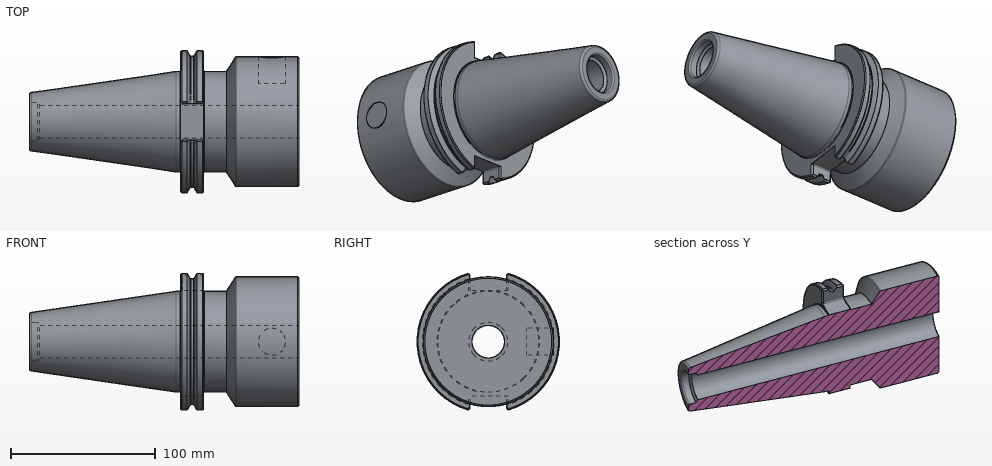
import cadquery as cq
import math

TOTAL_LENGTH = 186.6
GAUGE_X = 101.5
FLANGE_FRONT_X = 104.7
FLANGE_WIDTH = 15.9
FLANGE_BACK_X = FLANGE_FRONT_X + FLANGE_WIDTH
SHOULDER_START_X = 136.2
SHOULDER_END_X = 142.7

GAUGE_RADIUS = 34.9
TAPER_RATIO = 7 / 24
SMALL_END_RADIUS = GAUGE_RADIUS - GAUGE_X * TAPER_RATIO / 2
FLANGE_RADIUS = 49.3
NECK_RADIUS = GAUGE_RADIUS
HEAD_RADIUS = 45.0

SMALL_END_FILLET = 1.7
FLANGE_CHAMFER = 0.7
FLANGE_ROOT_FILLET = 0.5
HEAD_CHAMFER = 1.1
SHOULDER_FILLET = 0.7

GROOVE_X = 112.5
GROOVE_FLOOR_RADIUS = 45.3
GROOVE_FLOOR_WIDTH = 2.5
GROOVE_HALF_ANGLE = 30.0
GROOVE_FLOOR_FILLET = 0.5

SLOT_HALF_WIDTH = 12.7
TOP_SLOT_FLOOR = 35.3
BOTTOM_SLOT_FLOOR = 37.7
SLOT_CHAMFER = 1.1
SLOT_CORNER_FILLET = 0.7
CUT_CLEARANCE = 1.9

BORE_RADIUS = 11.2
MOUTH_RADIUS = 13.5
MOUTH_DEPTH = 5.8
MOUTH_CONE_LENGTH = 1.3
MOUTH_FILLET = 1.1

SCREW_RADIUS = 9.3
SCREW_X = 167.8
SCREW_LENGTH = 2 * SCREW_RADIUS


def turned_blank():
    """Taper, flange, neck and head as one solid of revolution, with its end and shoulder edges rounded."""
    profile = (
        cq.Workplane("XZ")
        .moveTo(0, 0)
        .lineTo(0, SMALL_END_RADIUS)
        .lineTo(GAUGE_X, GAUGE_RADIUS)
        .lineTo(FLANGE_FRONT_X - FLANGE_ROOT_FILLET, GAUGE_RADIUS)
        .radiusArc((FLANGE_FRONT_X, GAUGE_RADIUS + FLANGE_ROOT_FILLET), -FLANGE_ROOT_FILLET)
        .lineTo(FLANGE_FRONT_X, FLANGE_RADIUS - FLANGE_CHAMFER)
        .lineTo(FLANGE_FRONT_X + FLANGE_CHAMFER, FLANGE_RADIUS)
        .lineTo(FLANGE_BACK_X - FLANGE_CHAMFER, FLANGE_RADIUS)
        .lineTo(FLANGE_BACK_X, FLANGE_RADIUS - FLANGE_CHAMFER)
        .lineTo(FLANGE_BACK_X, NECK_RADIUS + FLANGE_ROOT_FILLET)
        .radiusArc((FLANGE_BACK_X + FLANGE_ROOT_FILLET, NECK_RADIUS), -FLANGE_ROOT_FILLET)
        .lineTo(SHOULDER_START_X, NECK_RADIUS)
        .lineTo(SHOULDER_END_X, HEAD_RADIUS)
        .lineTo(TOTAL_LENGTH - HEAD_CHAMFER, HEAD_RADIUS)
        .lineTo(TOTAL_LENGTH, HEAD_RADIUS - HEAD_CHAMFER)
        .lineTo(TOTAL_LENGTH, 0)
        .close()
    )
    blank = profile.revolve(360, (0, 0, 0), (1, 0, 0))
    blank = blank.faces("<X").edges().fillet(SMALL_END_FILLET)
    return blank.edges(cq.NearestToPointSelector((SHOULDER_END_X, 0, 0))).fillet(SHOULDER_FILLET)


def flange_groove():
    """Ring that cuts the V-groove, with rounded floor corners, into the flange rim."""
    depth = FLANGE_RADIUS - GROOVE_FLOOR_RADIUS
    half_floor = GROOVE_FLOOR_WIDTH / 2
    half_mouth = half_floor + depth * math.tan(math.radians(GROOVE_HALF_ANGLE))
    return (
        cq.Workplane("XZ")
        .polyline([
            (GROOVE_X - half_floor, GROOVE_FLOOR_RADIUS),
            (GROOVE_X - half_mouth, FLANGE_RADIUS),
            (GROOVE_X + half_mouth, FLANGE_RADIUS),
            (GROOVE_X + half_floor, GROOVE_FLOOR_RADIUS),
        ])
        .close()
        .revolve(360, (0, 0, 0), (1, 0, 0))
        .edges(cq.selectors.RadiusNthSelector(0))
        .fillet(GROOVE_FLOOR_FILLET)
    )


def drive_slot(floor):
    """Cutter for the +Z slot: rounded floor corners, flared at the front face and the rim."""
    outer = FLANGE_RADIUS + CUT_CLEARANCE
    slot = (
        cq.Workplane("XY")
        .box(FLANGE_WIDTH, 2 * SLOT_HALF_WIDTH, outer - floor, centered=(False, True, False))
        .translate((FLANGE_FRONT_X, 0, floor))
        .edges("<Z and |X")
        .fillet(SLOT_CORNER_FILLET)
    )
    flared_half_width = SLOT_HALF_WIDTH + SLOT_CHAMFER
    front_flare = (
        cq.Workplane("XY", origin=(0, 0, floor))
        .polyline([
            (FLANGE_FRONT_X, -flared_half_width),
            (FLANGE_FRONT_X, flared_half_width),
            (FLANGE_FRONT_X + SLOT_CHAMFER, SLOT_HALF_WIDTH),
            (FLANGE_FRONT_X + SLOT_CHAMFER, -SLOT_HALF_WIDTH),
        ])
        .close()
        .extrude(outer - floor)
    )
    rim_z = math.sqrt(FLANGE_RADIUS**2 - flared_half_width**2)
    rim_flare = (
        cq.Workplane("YZ", origin=(FLANGE_FRONT_X, 0, 0))
        .polyline([
            (-SLOT_HALF_WIDTH, rim_z - SLOT_CHAMFER),
            (-flared_half_width, rim_z),
            (-flared_half_width, outer),
            (flared_half_width, outer),
            (flared_half_width, rim_z),
            (SLOT_HALF_WIDTH, rim_z - SLOT_CHAMFER),
        ])
        .close()
        .extrude(FLANGE_WIDTH)
    )
    return slot.union(front_flare).union(rim_flare)


def axial_bore():
    """Through bore with a rounded, wider mouth that narrows to it through a short cone."""
    return (
        cq.Workplane("XZ")
        .moveTo(0, 0)
        .lineTo(0, MOUTH_RADIUS + MOUTH_FILLET)
        .radiusArc((MOUTH_FILLET, MOUTH_RADIUS), -MOUTH_FILLET)
        .lineTo(MOUTH_DEPTH, MOUTH_RADIUS)
        .lineTo(MOUTH_DEPTH + MOUTH_CONE_LENGTH, BORE_RADIUS)
        .lineTo(TOTAL_LENGTH, BORE_RADIUS)
        .lineTo(TOTAL_LENGTH, 0)
        .close()
        .revolve(360, (0, 0, 0), (1, 0, 0))
    )


def make_set_screw():
    """Plain cylinder along Y whose flat outer end touches the crest of the head."""
    return (
        cq.Workplane("XZ", origin=(SCREW_X, HEAD_RADIUS, 0))
        .circle(SCREW_RADIUS)
        .extrude(SCREW_LENGTH)
    )


def make_holder():
    """Tool holder with its groove, drive slots, bore and the hole for the set screw."""
    top_slot = drive_slot(TOP_SLOT_FLOOR)
    bottom_slot = drive_slot(BOTTOM_SLOT_FLOOR).mirror("XY")
    return (
        turned_blank()
        .cut(flange_groove())
        .cut(top_slot)
        .cut(bottom_slot)
        .cut(axial_bore())
        .cut(make_set_screw())
    )


holder = make_holder()
set_screw = make_set_screw()

result = cq.Compound.makeCompound([*holder.solids().vals(), set_screw.val()])